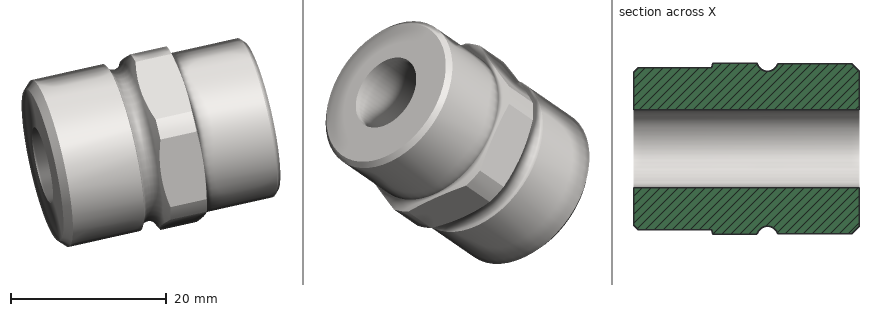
import cadquery as cq
import math

length = 29.0
bore_diameter = 10.0
front_diameter = 22.0
front_chamfer = 1.0
rear_diameter = 20.97
rear_chamfer = 0.6

groove_start = 10.5
groove_end = 13.0
groove_bottom_radius = 10.0
groove_rear_radius = 10.73

hex_across_flats = front_diameter
hex_corner_radius = 12.0
hex_front_corner = 13.75
hex_rear = 19.0
hex_rear_bevel_angle = math.radians(15)

front_radius = front_diameter / 2
rear_radius = rear_diameter / 2
groove_middle = (groove_start + groove_end) / 2
hex_rear_corner = hex_rear - (hex_corner_radius - rear_radius) * math.tan(hex_rear_bevel_angle)


def turned_body():
    """Revolve the outer profile, given as (radius, Y), about the Y axis."""
    return (
        cq.Workplane("XY")
        .lineTo(front_radius - front_chamfer, 0)
        .lineTo(front_radius, front_chamfer)
        .lineTo(front_radius, groove_start)
        .threePointArc((groove_bottom_radius, groove_middle), (groove_rear_radius, groove_end))
        .lineTo(hex_corner_radius, hex_front_corner)
        .lineTo(hex_corner_radius, hex_rear_corner)
        .lineTo(rear_radius, hex_rear)
        .lineTo(rear_radius, length - rear_chamfer)
        .lineTo(rear_radius - rear_chamfer, length)
        .lineTo(0, length)
        .close()
        .revolve(360, (0, 0, 0), (0, 1, 0))
    )


def hexagonal_bar():
    """Full-length hexagonal bar with two flats square to Z and corners on X."""
    across_corners = hex_across_flats / math.cos(math.pi / 6)
    return cq.Workplane("XZ").polygon(6, across_corners).extrude(-length)


def bore():
    return cq.Workplane("XZ").circle(bore_diameter / 2).extrude(-length)


result = turned_body().intersect(hexagonal_bar()).cut(bore())